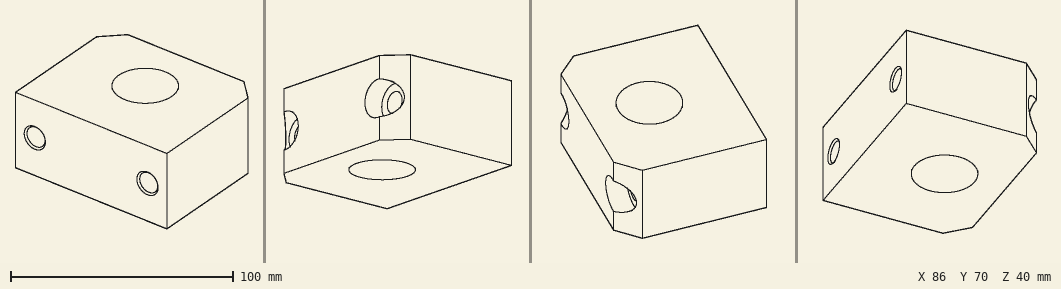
import cadquery as cq

width = 86.0
depth = 70.0
height = 40.0
corner_chamfer = 10.0

bore_diameter = 30.0
bore_from_front = 40.0

screw_spacing = 64.0
screw_diameter = 10.2
countersink_diameter = 12.0
counterbore_diameter = 18.0
counterbore_depth = 10.0


def make_block():
    block = cq.Workplane("XY").box(width, depth, height, centered=(True, False, False))
    return block.edges("|Z and >Y").chamfer(corner_chamfer)


def make_bore():
    return cq.Workplane("XY").center(0, bore_from_front).circle(bore_diameter / 2).extrude(height)


def make_screw_hole(x):
    """Revolve a through hole with a 45 degree front countersink and a rear counterbore."""
    hole_radius = screw_diameter / 2
    countersink_radius = countersink_diameter / 2
    countersink_depth = countersink_radius - hole_radius
    counterbore_radius = counterbore_diameter / 2
    counterbore_floor = depth - counterbore_depth
    profile = (
        cq.Workplane("XY")
        .moveTo(0, 0)
        .lineTo(countersink_radius, 0)
        .lineTo(hole_radius, countersink_depth)
        .lineTo(hole_radius, counterbore_floor)
        .lineTo(counterbore_radius, counterbore_floor)
        .lineTo(counterbore_radius, depth)
        .lineTo(0, depth)
        .close()
    )
    hole = profile.revolve(360, (0, 0, 0), (0, 1, 0))
    return hole.translate((x, 0, height / 2))


result = make_block().cut(make_bore())
for hole_x in (-screw_spacing / 2, screw_spacing / 2):
    result = result.cut(make_screw_hole(hole_x))